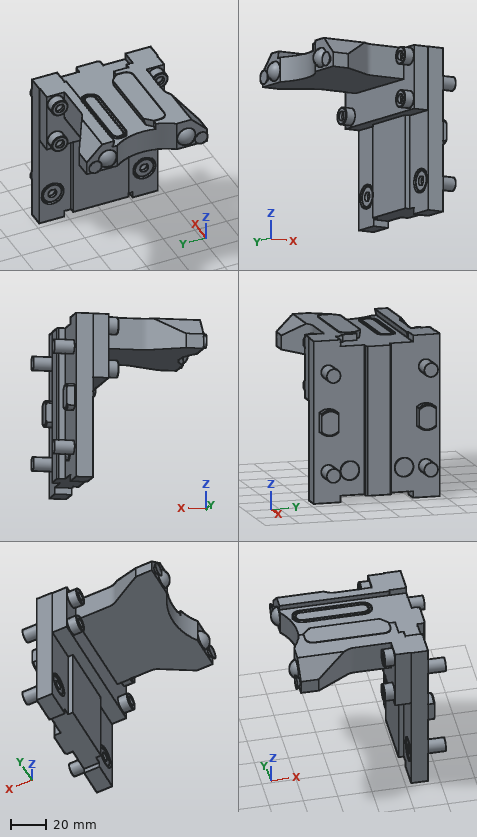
import cadquery as cq
import math


plate_height = 94.9
plate_width = 74.9
plate_thickness = 9.9
notch_width = 43.1
notch_depth = 3.8
rib_width = 34.9
rib_height = 3.05
plate_front = -plate_thickness
slot_floor = plate_height - notch_depth

flange_width = 74.2
flange_thickness = 9.2
flange_height = 37.0
flange_front = plate_front - flange_thickness

arm_front = -74.3
arm_width = 76.0
arm_neck_width = 51.9
arm_thickness = 18.1
arm_bottom = plate_height - arm_thickness
arm_tip_length = 10.3
arm_taper_angle = math.radians(30)
arm_neck_radius = 8.0
arm_chamfer = 9.8
seat_radius = 32.0
seat_depth = 6.1

slot_right = -8.0
slot_left_floor = 21.5
undercut = 1.05

pad_rise = 0.4
pad_back = -16.6
pad_length = 49.9
pad_left = -3.5
pad_right = -16.8
pad_corner = 4.5

seal_x = -45.2
seal_y = 13.25
seal_length = 44.4
seal_width = 8.9
seal_diameter = 1.3
seal_rise = 0.3
seal_bite = 0.2
groove_width = 2.0

ball_radius = 6.0
ball_rise = 4.1
ball_y = 24.9
ball_z = 84.0
tip_screw_y = 33.5
tip_screw_z = 81.7
tip_screw_radius = 4.0
tip_screw_rise = 2.0

cap_diameter = 10.0
cap_length = 6.0
cap_edge = 0.4
cap_y = 31.55
cap_levels = (64.1, 89.1)
socket_diameter = 5.2
socket_depth = 1.9
socket_cone_depth = 1.5

stud_y = 29.0
stud_levels = (18.3, 76.5)
stud_diameter = 8.1
stud_length = 11.4
counterbore_diameter = 14.0
counterbore_depth = 9.0
plate_screw_diameter = 13.0
plate_screw_recess = 0.4
plate_screw_edge = 0.8

key_width = 15.2
key_rise = 4.7
key_chamfer = 1.0
side_key_y = 29.0
side_key_flats = 10.2
side_key_chamfer = 0.7
boss_y = 16.1
boss_diameter = 11.1
boss_rise = 0.7


def block(x_range, y_range, z_range):
    """Box given by its limits on the three axes."""
    sizes = [high - low for low, high in (x_range, y_range, z_range)]
    corner = (x_range[0], y_range[0], z_range[0])
    return cq.Workplane("XY").box(*sizes, centered=False).translate(corner)


def rod(x, y, z, diameter, length):
    """Cylinder along +X that starts at the given point."""
    plane = cq.Workplane("YZ", origin=(x, y, z))
    return plane.circle(diameter / 2).extrude(length)


def cone(x, y, z, start_radius, end_radius, length):
    """Cone along +X that starts at the given point."""
    solid = cq.Solid.makeCone(
        start_radius, end_radius, length, pnt=cq.Vector(x, y, z), dir=cq.Vector(1, 0, 0)
    )
    return cq.Workplane(obj=solid)


def screw_head(x, y, z, diameter, length, edge):
    """Screw head facing -X, with a chamfered rim and a round socket that ends in a cone."""
    head = rod(x, y, z, diameter, length).faces("<X").chamfer(edge)
    radius = socket_diameter / 2
    socket = rod(x, y, z, socket_diameter, socket_depth)
    point = cone(x + socket_depth, y, z, radius, 0, socket_cone_depth)
    return head.cut(socket).cut(point)


def mounting_plate():
    half = plate_width / 2
    plate = block((plate_front, 0), (-half, half), (0, plate_height))
    half_notch = notch_width / 2
    for bottom, top in ((0, notch_depth), (slot_floor, plate_height)):
        plate = plate.cut(block((plate_front, 0), (-half_notch, half_notch), (bottom, top)))
    return plate.union(rib_bar(slot_floor))


def rib_bar(top):
    """Bar with the section of the plate's rib, from the lower notch up to the given level."""
    half = rib_width / 2
    return block((plate_front - rib_height, plate_front), (-half, half), (notch_depth, top))


def flange():
    half = flange_width / 2
    z_range = (plate_height - flange_height, plate_height)
    return block((flange_front, plate_front), (-half, half), z_range)


def arm():
    half = arm_width / 2
    neck = arm_neck_width / 2
    tip_x = arm_front + arm_tip_length
    arc_rise = arm_neck_radius * (1 - math.cos(arm_taper_angle))
    arc_run = arm_neck_radius * math.sin(arm_taper_angle)
    taper_end_y = neck + arc_rise
    taper_end_x = tip_x + (half - taper_end_y) / math.tan(arm_taper_angle)
    neck_x = taper_end_x + arc_run
    middle_x = neck_x - arm_neck_radius * math.sin(arm_taper_angle / 2)
    middle_y = neck + arm_neck_radius * (1 - math.cos(arm_taper_angle / 2))
    body = (
        cq.Workplane("XY", origin=(0, 0, arm_bottom))
        .moveTo(arm_front, 0)
        .lineTo(arm_front, half)
        .lineTo(tip_x, half)
        .lineTo(taper_end_x, taper_end_y)
        .threePointArc((middle_x, middle_y), (neck_x, neck))
        .lineTo(flange_front, neck)
        .lineTo(flange_front, 0)
        .close()
        .extrude(arm_thickness)
    )
    bevel = (
        cq.Workplane("YZ", origin=(arm_front, 0, 0))
        .moveTo(half, plate_height - arm_chamfer)
        .lineTo(half, plate_height)
        .lineTo(half - arm_chamfer, plate_height)
        .close()
        .extrude(flange_front - arm_front)
    )
    body = body.cut(bevel)
    body = body.union(body.mirror("XZ"))
    seat_x = arm_front + seat_depth - seat_radius
    seat = (
        cq.Workplane("XY", origin=(seat_x, 0, arm_bottom))
        .circle(seat_radius)
        .extrude(arm_thickness)
    )
    return body.cut(seat)


def slot():
    return (
        cq.Workplane("YZ", origin=(arm_front, 0, 0))
        .moveTo(slot_right, slot_floor)
        .lineTo(slot_left_floor, slot_floor)
        .lineTo(slot_left_floor - undercut, plate_height)
        .lineTo(slot_right, plate_height)
        .close()
        .extrude(plate_front - arm_front)
    )


def pad():
    """Insert with a leaning +Y side; two corners are bevelled and two are round."""
    pad_front = pad_back - pad_length
    pad_top = plate_height + pad_rise
    plan = block((pad_front, pad_back), (pad_right, pad_left), (slot_floor, pad_top))
    plan = plan.edges("|Z and >Y").chamfer(pad_corner)
    plan = plan.edges("|Z and <Y").fillet(pad_corner)
    section = (
        cq.Workplane("YZ", origin=(pad_front, 0, 0))
        .moveTo(pad_right, slot_floor)
        .lineTo(pad_left - undercut, slot_floor)
        .lineTo(pad_left, pad_top)
        .lineTo(pad_right, pad_top)
        .close()
        .extrude(pad_length)
    )
    return plan.intersect(section)


def seal_groove(depth):
    plane = cq.Workplane("XY", origin=(seal_x, seal_y, slot_floor - depth))
    outer = plane.slot2D(seal_length + groove_width, seal_width + groove_width).extrude(depth)
    inner = plane.slot2D(seal_length - groove_width, seal_width - groove_width).extrude(depth)
    return outer.cut(inner)


def seal():
    """Round cord laid along a rounded-end loop, sunk slightly into the groove floor."""
    end_radius = seal_width / 2
    half_straight = (seal_length - seal_width) / 2
    centre_z = slot_floor + seal_rise - seal_diameter / 2
    path = (
        cq.Workplane("XY", origin=(seal_x, seal_y, centre_z))
        .moveTo(0, end_radius)
        .lineTo(half_straight, end_radius)
        .threePointArc((half_straight + end_radius, 0), (half_straight, -end_radius))
        .lineTo(-half_straight, -end_radius)
        .threePointArc((-half_straight - end_radius, 0), (-half_straight, end_radius))
        .close()
    )
    cord_start = (seal_x, seal_y + end_radius, centre_z)
    return cq.Workplane("YZ", origin=cord_start).circle(seal_diameter / 2).sweep(path)


def front_tips(side):
    """Ball and countersunk screw on one side of the arm's front face."""
    ball_x = arm_front - ball_rise + ball_radius
    ball = cq.Workplane("XY").sphere(ball_radius).translate((ball_x, side * ball_y, ball_z))
    narrow_radius = tip_screw_radius - tip_screw_rise
    screw = cone(
        arm_front - tip_screw_rise,
        side * tip_screw_y,
        tip_screw_z,
        tip_screw_radius,
        narrow_radius,
        tip_screw_rise,
    )
    return ball.union(screw)


def centre_key():
    half = key_width / 2
    key = block((0, key_rise), (-half, half), (notch_depth, slot_floor))
    return key.edges("|Z and >X").chamfer(key_chamfer)


def side_key(side):
    """Round key with a chamfered rim, cut by two flats facing -Y and +Y."""
    y = side * side_key_y
    half = side_key_flats / 2
    radius = key_width / 2
    middle_z = plate_height / 2
    disc = rod(0, y, middle_z, key_width, key_rise).faces(">X").chamfer(side_key_chamfer)
    flats = block((0, key_rise), (y - half, y + half), (middle_z - radius, middle_z + radius))
    return disc.intersect(flats)


bracket = flange().cut(rib_bar(plate_height)).union(arm()).cut(slot())
result = mounting_plate().union(bracket).union(pad())

groove_depth = seal_diameter - seal_rise - seal_bite
result = result.cut(seal_groove(groove_depth)).union(seal())

result = result.union(centre_key())
lower_stud_z = stud_levels[0]
for side in (-1, 1):
    result = result.union(front_tips(side)).union(side_key(side))
    result = result.union(rod(0, side * boss_y, lower_stud_z, boss_diameter, boss_rise))
    for level in cap_levels:
        cap_x = flange_front - cap_length
        cap = screw_head(cap_x, side * cap_y, level, cap_diameter, cap_length, cap_edge)
        result = result.union(cap)
    for level in stud_levels:
        result = result.union(rod(0, side * stud_y, level, stud_diameter, stud_length))
    y = side * stud_y
    bore = rod(plate_front, y, lower_stud_z, counterbore_diameter, counterbore_depth)
    head_x = plate_front + plate_screw_recess
    head_length = counterbore_depth - plate_screw_recess
    head = screw_head(
        head_x, y, lower_stud_z, plate_screw_diameter, head_length, plate_screw_edge
    )
    result = result.cut(bore).union(head)